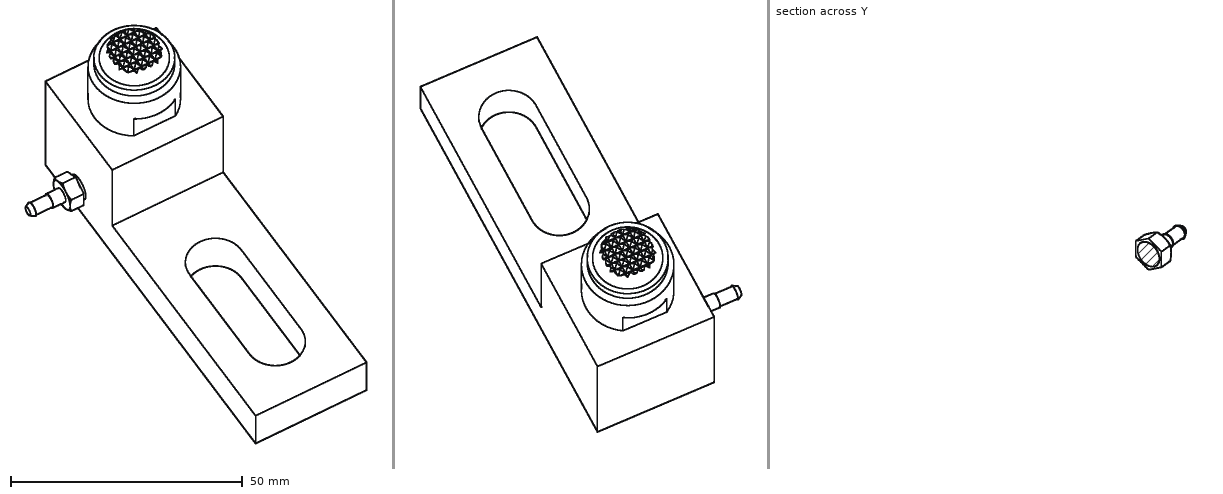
import cadquery as cq
import math

block_size = 28.0
block_height = 30.0
total_length = 88.0
arm_thickness = 10.0
slot_width = 13.0
slot_length = 38.0
slot_end_margin = 8.5
center = block_size / 2

barrel_radius = 10.0
barrel_edge_z = block_height + 11.65
collar_radius = 8.75
collar_base_z = block_height + 12.65
collar_top_z = block_height + 14.75
flats_width = 17.0
flats_height = 6.0

ball_radius = 8.2
ball_top_z = 48.0
ball_flat_radius = 5.2
ball_center_z = ball_top_z - math.sqrt(ball_radius**2 - ball_flat_radius**2)
tooth_pitch = 1.75
groove_count = 6
tooth_tip_width = 0.2
groove_depth = (tooth_pitch - tooth_tip_width) / 2
groove_length = 11.0

nipple_z = 8.0
neck_radius = 3.0
hex_across_flats = 7.0
hex_start = 0.8
hex_end = 4.3
hex_chamfer_height = 0.3
stem_radius = 1.7
stem_end = 7.4
hose_radius = 1.5
barb_radius = 1.7
barb_start = 11.7
tip_radius = 1.1
nipple_length = 12.8


def make_bracket():
    """L-shaped block and arm with a through slot."""
    block = cq.Workplane("XY").box(block_size, block_size, block_height, centered=False)
    arm = cq.Workplane("XY").box(total_length, block_size, arm_thickness, centered=False)
    slot_center_x = total_length - slot_end_margin - slot_length / 2
    slot = (
        cq.Workplane("XY")
        .center(slot_center_x, center)
        .slot2D(slot_length, slot_width)
        .extrude(arm_thickness)
    )
    return block.union(arm).cut(slot)


def make_barrel():
    """Barrel with a chamfered shoulder, a collar and two wrench flats."""
    barrel = (
        cq.Workplane("XZ")
        .moveTo(0, block_height)
        .lineTo(barrel_radius, block_height)
        .lineTo(barrel_radius, barrel_edge_z)
        .lineTo(collar_radius, collar_base_z)
        .lineTo(collar_radius, collar_top_z)
        .lineTo(0, collar_top_z)
        .close()
        .revolve(360, (0, 0, 0), (0, 1, 0))
    )
    flat_depth = barrel_radius - flats_width / 2
    for side in (-1, 1):
        flat = cq.Workplane("XY").box(
            flat_depth, 2 * barrel_radius, flats_height, centered=(True, True, False)
        )
        flat_x = side * (flats_width + flat_depth) / 2
        barrel = barrel.cut(flat.translate((flat_x, 0, block_height)))
    return barrel.translate((center, center, 0))


def make_nipple():
    """Hose nipple pointing along -Y, with a hexagon chamfered on its outer side."""
    turned = (
        cq.Workplane("XY")
        .lineTo(neck_radius, 0)
        .lineTo(neck_radius, -hex_start)
        .lineTo(stem_radius, -hex_start)
        .lineTo(stem_radius, -stem_end)
        .lineTo(hose_radius, -stem_end)
        .lineTo(hose_radius, -barb_start)
        .lineTo(barb_radius, -barb_start)
        .lineTo(tip_radius, -nipple_length)
        .lineTo(0, -nipple_length)
        .close()
        .revolve(360, (0, 0, 0), (0, 1, 0))
    )
    corner_radius = hex_across_flats / math.sqrt(3)
    hexagon = (
        cq.Workplane("XZ", origin=(0, -hex_start, 0))
        .polygon(6, 2 * corner_radius)
        .extrude(hex_end - hex_start)
        .rotate((0, 0, 0), (0, 1, 0), 30)
    )
    chamfer_envelope = (
        cq.Workplane("XY")
        .moveTo(0, -hex_start)
        .lineTo(corner_radius, -hex_start)
        .lineTo(corner_radius, hex_chamfer_height - hex_end)
        .lineTo(hex_across_flats / 2, -hex_end)
        .lineTo(0, -hex_end)
        .close()
        .revolve(360, (0, 0, 0), (0, 1, 0))
    )
    nipple = turned.union(hexagon.intersect(chamfer_envelope))
    return nipple.translate((center, 0, nipple_z))


def make_ball_blank():
    """Full ball cut flat at the top."""
    ball = cq.Workplane("XY").sphere(ball_radius).translate((center, center, ball_center_z))
    below_top = cq.Workplane("XY").box(block_size, block_size, ball_top_z, centered=False)
    return ball.intersect(below_top)


def make_ball():
    """Ball with crossed V grooves that leave blunt pyramid teeth on its flat."""
    groove = (
        cq.Workplane("XZ", origin=(0, groove_length / 2, ball_top_z))
        .moveTo(-groove_depth, 0)
        .lineTo(0, -groove_depth)
        .lineTo(groove_depth, 0)
        .close()
        .extrude(groove_length)
    )
    ball = make_ball_blank()
    for direction in (0, 90):
        for index in range(groove_count):
            offset = (index - (groove_count - 1) / 2) * tooth_pitch
            placed = groove.translate((offset, 0, 0)).rotate((0, 0, 0), (0, 0, 1), direction)
            ball = ball.cut(placed.translate((center, center, 0)))
    return ball


holder = make_bracket().union(make_barrel()).union(make_nipple()).cut(make_ball_blank())
ball = make_ball()

result = cq.Compound.makeCompound([holder.val(), ball.val()])